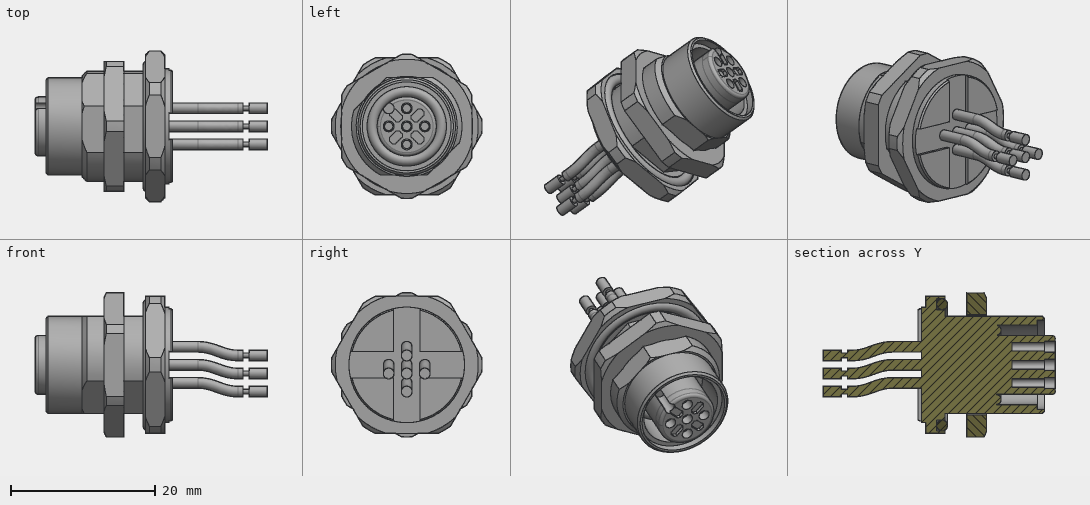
import cadquery as cq
import math


shell_front_x = 1.5
grip_front_x = 6.5
nut_front_x = 9.5
flange_front_x = 15.25
flange_rear_x = 17.95
collar_rear_x = 19.05
bend_start_x = 22.57
bend_end_x = 28.08
insulation_end_x = 28.8
tip_start_x = 29.63
tip_end_x = 32.15

shell_radius = 13.5 / 2
shell_edge_chamfer = 0.3
mouth_radius = 12.3 / 2
mouth_depth = 1.0
bore_radius = 11 / 2
seal_crest_x = 7.5

insert_radius = 4.1
insert_edge_radius = 0.45
contact_pitch = 2.5
contact_positions = (
    (0, 0),
    (contact_pitch, 0),
    (-contact_pitch, 0),
    (0, contact_pitch),
    (0, -contact_pitch),
)
contact_entry_radius = 1.5 / 2
contact_entry_depth = 1.5
contact_hole_radius = 1.15 / 2
contact_hole_depth = 6.0
key_radius = 1.5 / 2
key_distance = contact_pitch * math.sqrt(2)
key_depth = 4.0
slot_width = 1.2
slot_length = 1.94
slot_corner_chamfer = 0.3
slot_distance = 2.15
slot_depth = 0.5
diagonal_angles = (45, 135, 225, 315)
key_angle = 45

grip_radius = 7.65
grip_chamfer = 0.65
grip_flat_angles = (45, 90, 225, 270)

flange_across_flats = 19.0
flange_corner_radius = 10.445
flange_chamfer = 0.55

collar_radius = 16 / 2
collar_rear_radius = 15.6 / 2
collar_bevel_x = 18.8
cross_slot_width = 3.7
cross_slot_depth = 0.5

ring_tube_radius = 1.5 / 2
ring_major_radius = grip_radius + ring_tube_radius
ring_projection = 0.33
ring_center_x = flange_front_x - ring_projection + ring_tube_radius

nut_across_flats = 18.0
nut_corner_radius = 10.0
nut_bore_radius = 6.93
nut_thickness = 2.8
nut_chamfer_length = 0.35
nut_chamfer_height = 0.7

wire_radius = 1.5 / 2
wire_drop = 1.2
conductor_radius = 0.7 / 2


def at_x(x):
    """Sketch plane across the axis: local x is Y and local y is Z."""
    return cq.Workplane("YZ", origin=(x, 0, 0))


def turn(profile):
    """Revolve a closed profile, drawn as (X, radius), about the X axis."""
    return profile.close().revolve(360, (0, 0, 0), (1, 0, 0))


def rod(x_start, x_end, radius, y=0, z=0):
    return at_x(x_start).center(y, z).circle(radius).extrude(x_end - x_start)


def hexagon(x_start, x_end, across_flats):
    """Hexagonal prism with two corners on the Y axis."""
    across_corners = across_flats / math.cos(math.radians(30))
    return at_x(x_start).polygon(6, across_corners).extrude(x_end - x_start)


def make_shell():
    """Solid barrel, bevelled at the mouth, that reaches back to the flange."""
    profile = (
        cq.Workplane("XY")
        .moveTo(shell_front_x, 0)
        .lineTo(shell_front_x, shell_radius - shell_edge_chamfer)
        .lineTo(shell_front_x + shell_edge_chamfer, shell_radius)
        .lineTo(flange_front_x, shell_radius)
        .lineTo(flange_front_x, 0)
    )
    return turn(profile)


def make_mating_gap():
    """Ring-shaped space between shell and insert; its floor is the rounded crest of a seal."""
    gap_middle = (bore_radius + insert_radius) / 2
    seal_base_x = seal_crest_x + (bore_radius - insert_radius) / 2
    mouth_end_x = shell_front_x + mouth_depth
    profile = (
        cq.Workplane("XY")
        .moveTo(shell_front_x, insert_radius)
        .lineTo(seal_base_x, insert_radius)
        .threePointArc((seal_crest_x, gap_middle), (seal_base_x, bore_radius))
        .lineTo(mouth_end_x, bore_radius)
        .lineTo(mouth_end_x, mouth_radius)
        .lineTo(shell_front_x, mouth_radius)
    )
    return turn(profile)


def make_insert_nose():
    """Front end of the contact insert, rounded at the rim, standing out of the shell."""
    return rod(0, shell_front_x, insert_radius).faces("<X").edges().fillet(insert_edge_radius)


def make_insert_openings():
    """Contact holes, the four diagonal slots and the coding key of the insert."""
    openings = cq.Workplane("YZ")
    for y, z in contact_positions:
        openings = openings.add(rod(0, contact_entry_depth, contact_entry_radius, y, z))
        openings = openings.add(rod(0, contact_hole_depth, contact_hole_radius, y, z))
    for angle in diagonal_angles:
        slot = (
            at_x(0)
            .center(slot_distance, 0)
            .rect(slot_length, slot_width)
            .extrude(slot_depth)
            .edges("|X")
            .chamfer(slot_corner_chamfer)
            .rotate((0, 0, 0), (1, 0, 0), angle)
        )
        openings = openings.add(slot)
    key = rod(0, key_depth, key_radius, key_distance).rotate((0, 0, 0), (1, 0, 0), key_angle)
    return openings.add(key).combine()


def make_grip():
    profile = (
        cq.Workplane("XY")
        .moveTo(grip_front_x, 0)
        .lineTo(grip_front_x, grip_radius - grip_chamfer)
        .lineTo(grip_front_x + grip_chamfer, grip_radius)
        .lineTo(flange_front_x, grip_radius)
        .lineTo(flange_front_x, 0)
    )
    grip = turn(profile)
    length = flange_front_x - grip_front_x
    for angle in grip_flat_angles:
        waste = (
            at_x(grip_front_x)
            .center(shell_radius + grip_radius / 2, 0)
            .rect(grip_radius, 2 * grip_radius)
            .extrude(length)
            .rotate((0, 0, 0), (1, 0, 0), angle)
        )
        grip = grip.cut(waste)
    return grip


def make_flange():
    """Hexagonal flange, bevelled on both faces, with the seat of the seal ring in its front face."""
    face_radius = flange_corner_radius - flange_chamfer
    profile = (
        cq.Workplane("XY")
        .moveTo(flange_front_x, 0)
        .lineTo(flange_front_x, face_radius)
        .lineTo(flange_front_x + flange_chamfer, flange_corner_radius)
        .lineTo(flange_rear_x - flange_chamfer, flange_corner_radius)
        .lineTo(flange_rear_x, face_radius)
        .lineTo(flange_rear_x, 0)
    )
    flange = hexagon(flange_front_x, flange_rear_x, flange_across_flats).intersect(turn(profile))
    seat = (
        at_x(flange_front_x)
        .circle(ring_major_radius + ring_tube_radius)
        .circle(grip_radius)
        .extrude(ring_center_x + ring_tube_radius - flange_front_x)
    )
    return flange.cut(seat)


def make_collar():
    """Round collar behind the flange, bevelled at the rear, with a cross of two slots in its rear face."""
    profile = (
        cq.Workplane("XY")
        .moveTo(flange_rear_x, 0)
        .lineTo(flange_rear_x, collar_radius)
        .lineTo(collar_bevel_x, collar_radius)
        .lineTo(collar_rear_x, collar_rear_radius)
        .lineTo(collar_rear_x, 0)
    )
    collar = turn(profile)
    slot_floor_x = collar_rear_x - cross_slot_depth
    for width, height in ((cross_slot_width, 2 * collar_radius), (2 * collar_radius, cross_slot_width)):
        collar = collar.cut(at_x(slot_floor_x).rect(width, height).extrude(cross_slot_depth))
    return collar


def make_wire(y, z):
    """Insulated wire that steps down to its stripped end, with a tip left on the conductor."""
    end_z = z - wire_drop
    lead = rod(flange_rear_x, bend_start_x, wire_radius, y, z)
    bend_path = cq.Workplane("XZ", origin=(0, y, 0)).spline(
        [(bend_start_x, z), (bend_end_x, end_z)], tangents=[(1, 0), (1, 0)]
    )
    bend = at_x(bend_start_x).center(y, z).circle(wire_radius).sweep(bend_path)
    sleeve = rod(bend_end_x, insulation_end_x, wire_radius, y, end_z)
    conductor = rod(insulation_end_x, tip_start_x, conductor_radius, y, end_z)
    tip = rod(tip_start_x, tip_end_x, wire_radius, y, end_z)
    return lead.union(bend).union(sleeve).union(conductor).union(tip)


def make_housing():
    housing = make_shell().union(make_grip()).union(make_flange()).union(make_collar())
    housing = housing.cut(make_mating_gap()).union(make_insert_nose()).cut(make_insert_openings())
    for y, z in contact_positions:
        housing = housing.union(make_wire(y, z))
    return housing


def make_nut():
    """Hexagonal lock nut with corners up and down, bevelled in front and bored to fit the flatted grip."""
    rear_x = nut_front_x + nut_thickness
    profile = (
        cq.Workplane("XY")
        .moveTo(nut_front_x, nut_bore_radius)
        .lineTo(nut_front_x, nut_corner_radius - nut_chamfer_height)
        .lineTo(nut_front_x + nut_chamfer_length, nut_corner_radius)
        .lineTo(rear_x, nut_corner_radius)
        .lineTo(rear_x, nut_bore_radius)
    )
    blank = hexagon(nut_front_x, rear_x, nut_across_flats).rotate((0, 0, 0), (1, 0, 0), 90)
    return blank.intersect(turn(profile)).cut(make_grip())


def make_seal_ring():
    tube = cq.Workplane("XY").center(ring_center_x, ring_major_radius).circle(ring_tube_radius)
    return tube.revolve(360, (0, -ring_major_radius, 0), (1, -ring_major_radius, 0))


housing = make_housing()
nut = make_nut()
seal_ring = make_seal_ring()

result = cq.Compound.makeCompound([housing.val(), nut.val(), seal_ring.val()])